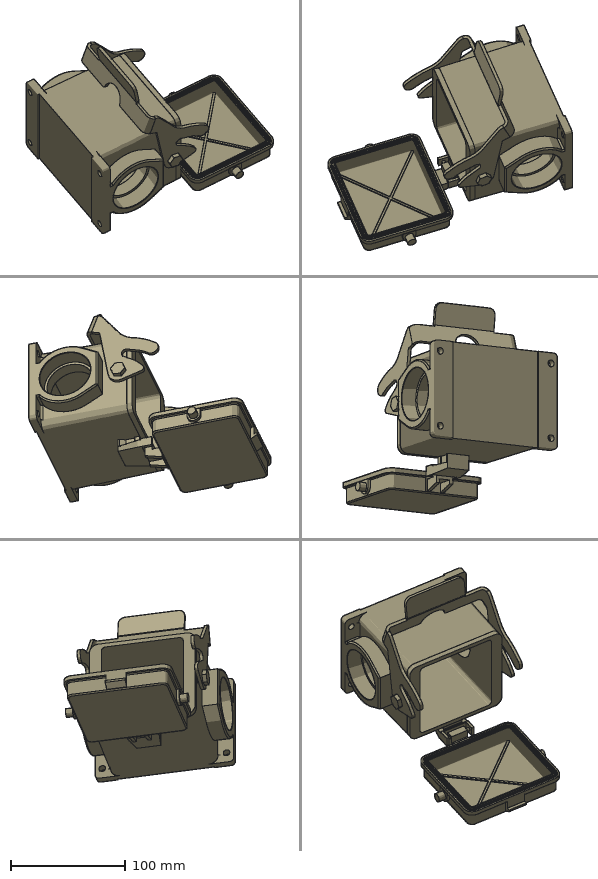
import cadquery as cq
import math


overlap = 2

plate_width = 125.0
plate_height = 86.2
plate_thickness = 7.1
plate_corner_radius = 3.9
plate_edge_round = 0.5
pad_inner_edge = 43.3
pad_step = 1.5
screw_hole_diameter = 5.8
screw_hole_x = 56
screw_hole_z = 33.5

body_width = 96.8
body_height = plate_height
body_corner_radius = 8.1
body_draft = 0.9
wall = 3.9
gland_wall = 10.6
plate_fillet = 1.7
rim_start_y = 85.5
rim_end_y = 90.5
rim_width = 95.0
rim_height = 83.9
rim_corner_radius = 7.7

gland_y = 33.6
gland_bore_diameter = 42.0
gland_mouth_diameter = 46.8
gland_mouth_depth = 14.3
gland_mouth_chamfer = 0.4
gland_radius = 30.7
gland_end_y = 63.4
gland_half_flat = 18.4
gland_half_foot = 19.0
gland_edge_round = 1.4

sheet = 2.9
lever_half_width = 52.7
bend_radius = 6.5
pivot_y = 80.0
pivot_pin_diameter = 8.0
pivot_pin_root_x = body_width / 2 - wall
bolt_head_diameter = 13.5
bolt_head_height = 3.9
bolt_head_turn = 9
heel_radius = 10.2
notch_centre = (86.4, 18.5)
notch_radius = 4.0
finger_centre = (110.1, 18.7)
finger_radius = 6.0
bar_top = (54.9, 67.6)
bar_tilt = 20
bar_length = 17.2
grip_radius = 12.2
grip_corner_round = 2
tab_width = 59.9
tab_length = 20.9
tab_root = (56.8, 68.4)
tab_neck_length = 1.5
tab_tilt = 8.5
tab_corner_radius = 6.4

lid_y = 147.2
lid_width = 97.0
lid_length = 86.0
lid_corner_radius = 8.3
lid_min_corner_radius = 2
lid_top_z = -51.5
lid_bottom_z = -70.3
lid_rim_depth = 4.0
lid_wall_inset = 2.9
lid_inner_inset = 6.5
lid_floor = 2.3
lid_floor_fillet = 0.8
lid_bottom_chamfer = 1.2
lid_collar_depth = 1.0
seal_groove_inset = 1.7
seal_groove_width = 3.9
seal_groove_depth = 1.5
seal_bead_inset = 3.0
seal_bead_width = 1.2
seal_bead_height = 1.0
lid_rib_width = 2.1
lid_rib_height = 1.0
lid_pin_diameter = 8.0
lid_pin_z = -62.0
lid_pin_reach = 54.9
lid_pin_boss_radius = 6.0
lid_pin_boss_x = 48.1
tongue_width = 18.0
tongue_tip_y = 193.2
tongue_top_z = -63.2
tongue_tip_height = 2
tongue_foot_y = 186.6

neck_width = 21.6
neck_back_width = 19.0
waist_width = 16.6
waist_start_y = 72.5
waist_end_y = 81.0
ledge_z = -49.8
ledge_end_y = 87.7
neck_front_y = 66.0
neck_back_y = 85.4
neck_front_thickness = 1.5
lug_width = 28.2
lug_gap = 23.2
lug_end_y = 98.0
lug_top_z = -48.7
lug_bottom_z = -57.5
neck_bottom_rise = 2.3
lug_slot_start_y = 88.9
arm_width = 16.6
arm_slot_width = 10.2
arm_slot_top_z = -60.3
arm_end_y = 90.0
arm_top_z = -58
arm_end_bottom_z = -63.8
knuckle_end_y = 96.6
knuckle_top_z = -50.6
pad_width = 19.3
pad_thickness = 1.2
hinge_pin_diameter = 3.0
hinge_pin_y = 93.5
hinge_pin_z = -53.3


def facing_back(y):
    """Workplane at depth y that extrudes towards +Y."""
    return cq.Workplane(cq.Plane((0, y, 0), (1, 0, 0), (0, 1, 0)))


def side_profile(half_width):
    """YZ workplane at X = -half_width, ready for an extrusion of 2 * half_width."""
    return cq.Workplane("YZ", origin=(-half_width, 0, 0))


def both_sides(solid):
    return solid.union(solid.mirror("YZ"))


def rounded_block(workplane, size_x, size_y, depth, radius, taper=0):
    outline = cq.Sketch().rect(size_x, size_y).vertices().fillet(radius)
    return workplane.placeSketch(outline).extrude(depth, taper=taper)


def base_plate():
    plate = rounded_block(facing_back(0), plate_width, plate_height, plate_thickness, plate_corner_radius)
    plate = plate.faces("<Y").edges().fillet(plate_edge_round)
    step = cq.Workplane().box(2 * pad_inner_edge, 2 * pad_step, 2 * plate_height)
    holes = (
        facing_back(-overlap)
        .rect(2 * screw_hole_x, 2 * screw_hole_z, forConstruction=True)
        .vertices()
        .circle(screw_hole_diameter / 2)
        .extrude(plate_thickness + 2 * overlap)
    )
    return plate.cut(step).cut(holes)


def body_shell():
    shell_length = rim_start_y - plate_thickness
    shell = rounded_block(
        facing_back(plate_thickness), body_width, body_height, shell_length, body_corner_radius, body_draft
    )
    rim_length = rim_end_y - rim_start_y
    rim = rounded_block(facing_back(rim_start_y), rim_width, rim_height, rim_length, rim_corner_radius)
    return shell.union(rim)


def body_cavity():
    return rounded_block(
        facing_back(plate_thickness),
        rim_width - 2 * gland_wall,
        rim_height - 2 * wall,
        rim_end_y,
        rim_corner_radius - wall,
    )


def gland_boss():
    reach = gland_end_y - gland_y
    corner_distance = math.hypot(reach, gland_half_flat)
    corner_angle = math.atan2(gland_half_flat, reach)
    tangent_angle = corner_angle + math.acos(gland_radius / corner_distance)
    tangent_y = gland_y + gland_radius * math.cos(tangent_angle)
    tangent_z = gland_radius * math.sin(tangent_angle)
    foot_y = gland_y - math.sqrt(gland_radius**2 - gland_half_foot**2)
    length = plate_width / 2
    boss = (
        cq.Workplane("YZ")
        .moveTo(plate_thickness - overlap, -gland_half_foot)
        .lineTo(foot_y, -gland_half_foot)
        .threePointArc((gland_y, -gland_radius), (tangent_y, -tangent_z))
        .lineTo(gland_end_y, -gland_half_flat)
        .lineTo(gland_end_y, gland_half_flat)
        .lineTo(tangent_y, tangent_z)
        .threePointArc((gland_y, gland_radius), (foot_y, gland_half_foot))
        .lineTo(plate_thickness - overlap, gland_half_foot)
        .close()
        .extrude(length)
    )
    outer_edges = cq.selectors.BoxSelector(
        (length - overlap, plate_thickness, -plate_height),
        (length + overlap, gland_end_y + overlap, plate_height),
    )
    boss = boss.edges(outer_edges).chamfer(gland_edge_round)
    return both_sides(boss)


def plate_fillets():
    side_x = body_width / 2
    middle = plate_fillet * (1 - math.sqrt(0.5))
    height = body_height - 2 * body_corner_radius
    strip = (
        cq.Workplane("XY", origin=(0, 0, -height / 2))
        .moveTo(side_x - wall / 2, plate_thickness)
        .lineTo(side_x + plate_fillet, plate_thickness)
        .threePointArc(
            (side_x + middle, plate_thickness + middle),
            (side_x, plate_thickness + plate_fillet),
        )
        .lineTo(side_x - wall / 2, plate_thickness + plate_fillet)
        .close()
        .extrude(height)
    )
    return both_sides(strip)


def gland_bores():
    bore = cq.Workplane("YZ").center(gland_y, 0).circle(gland_bore_diameter / 2).extrude(plate_width)
    mouth = (
        cq.Workplane("YZ", origin=(plate_width / 2 - gland_mouth_depth, 0, 0))
        .center(gland_y, 0)
        .circle(gland_mouth_diameter / 2)
        .extrude(gland_mouth_depth)
        .faces(">X")
        .workplane()
        .circle(gland_mouth_diameter / 2 + gland_mouth_chamfer)
        .extrude(-gland_mouth_chamfer, taper=45)
    )
    return both_sides(bore.union(mouth))


def housing():
    solid = body_shell().union(plate_fillets()).union(gland_boss()).cut(body_cavity())
    return solid.union(base_plate()).cut(gland_bores())


def on_circle(centre, radius, degrees):
    angle = math.radians(degrees)
    return (centre[0] + radius * math.cos(angle), centre[1] + radius * math.sin(angle))


def lever_side():
    pivot = (pivot_y, 0)
    plate = (
        cq.Workplane("YZ", origin=(lever_half_width - sheet, 0, 0))
        .moveTo(54.9, 49.0)
        .lineTo(60.5, 47.1)
        .threePointArc((61.6, 46.5), (62.2, 45.6))
        .lineTo(*on_circle(pivot, heel_radius, 189))
        .threePointArc(on_circle(pivot, heel_radius, 230), on_circle(pivot, heel_radius, 286))
        .lineTo(100.9, -4.6)
        .threePointArc((102.8, -2.3), (102.2, 0.2))
        .threePointArc((97.0, 6.0), (90.6, 10.8))
        .lineTo(*on_circle(notch_centre, notch_radius, 246))
        .threePointArc(
            on_circle(notch_centre, notch_radius, 180),
            on_circle(notch_centre, notch_radius, 82),
        )
        .lineTo(98.2, 18.7)
        .threePointArc((102.0, 16.8), on_circle(finger_centre, finger_radius, 225))
        .threePointArc(
            on_circle(finger_centre, finger_radius, -10),
            on_circle(finger_centre, finger_radius, 58),
        )
        .threePointArc((102.5, 30.3), (90.8, 34.5))
        .threePointArc((85.5, 37.3), (81.1, 41.3))
        .lineTo(65.7, 62.6)
        .threePointArc((63.8, 64.5), (60.9, 65.9))
        .close()
        .extrude(sheet)
    )
    return both_sides(plate)


def lever_bar():
    tilt = math.radians(bar_tilt)
    down = (0, -math.sin(tilt), -math.cos(tilt))
    inward = (0, math.cos(tilt), -math.sin(tilt))
    bend_centre_x = lever_half_width - bend_radius
    inner_radius = bend_radius - sheet
    diagonal = math.sqrt(0.5)
    half_bar = (
        cq.Workplane(cq.Plane((0, *bar_top), (1, 0, 0), down))
        .lineTo(bend_centre_x, 0)
        .threePointArc(
            (bend_centre_x + bend_radius * diagonal, -bend_radius * (1 - diagonal)),
            (lever_half_width, -bend_radius),
        )
        .lineTo(lever_half_width - sheet, -bend_radius)
        .threePointArc(
            (bend_centre_x + inner_radius * diagonal, -bend_radius + inner_radius * diagonal),
            (bend_centre_x, -sheet),
        )
        .lineTo(0, -sheet)
        .close()
        .extrude(bar_length)
    )
    across = cq.Workplane(cq.Plane((0, *bar_top), (1, 0, 0), inward))
    grip = across.center(0, bar_length).circle(grip_radius).extrude(2 * sheet, both=True)
    tab_neck = (
        cq.Workplane(cq.Plane((0, *bar_top), (1, 0, 0), down))
        .center(0, -sheet / 2)
        .rect(tab_width, sheet)
        .extrude(-tab_neck_length)
    )
    bar = both_sides(half_bar).cut(grip).union(tab_neck)
    through_edges = cq.selectors.ParallelDirSelector(cq.Vector(*inward))
    reach = grip_radius + grip_corner_round
    lower_middle = cq.selectors.BoxSelector((-reach, 0, 0), (reach, pivot_y, bar_top[1] - grip_radius))
    return bar.edges(through_edges).edges(lower_middle).fillet(grip_corner_round)


def lever_tab():
    tilt = math.radians(tab_tilt)
    normal = (0, -math.cos(tilt), -math.sin(tilt))
    return (
        cq.Workplane(cq.Plane((0, *tab_root), (1, 0, 0), normal))
        .center(0, tab_length / 2)
        .rect(tab_width, tab_length)
        .extrude(sheet / 2, both=True)
        .edges(cq.selectors.ParallelDirSelector(cq.Vector(*normal)))
        .edges(">Z")
        .fillet(tab_corner_radius)
    )


def pivot_bolts():
    pin = (
        cq.Workplane("YZ", origin=(pivot_pin_root_x, 0, 0))
        .center(pivot_y, 0)
        .circle(pivot_pin_diameter / 2)
        .extrude(lever_half_width - pivot_pin_root_x)
    )
    head = (
        cq.Workplane("YZ", origin=(lever_half_width, 0, 0))
        .polygon(6, bolt_head_diameter)
        .extrude(bolt_head_height)
        .rotate((0, 0, 0), (1, 0, 0), -bolt_head_turn)
        .translate((0, pivot_y, 0))
    )
    return both_sides(pin.union(head))


def lid_block(z, inset, height, taper=0):
    """Rounded block concentric with the lid outline, shrunk by inset and rising from z."""
    return rounded_block(
        cq.Workplane("XY", origin=(0, lid_y, z)),
        lid_width - 2 * inset,
        lid_length - 2 * inset,
        height,
        max(lid_corner_radius - inset, lid_min_corner_radius),
        taper,
    )


def lid_ring(z, inset, width, height):
    return lid_block(z, inset, height).cut(lid_block(z, inset + width, height))


def lid_shell():
    height = lid_top_z - lid_bottom_z
    rim_underside = lid_top_z - lid_rim_depth
    tray = lid_block(lid_bottom_z, lid_wall_inset, height).faces("<Z").edges().chamfer(lid_bottom_chamfer)
    collar = lid_block(rim_underside - lid_collar_depth, lid_wall_inset, lid_collar_depth, taper=-45)
    rim = lid_block(rim_underside, 0, lid_rim_depth)
    groove_floor = lid_top_z - seal_groove_depth
    groove = lid_ring(groove_floor, seal_groove_inset, seal_groove_width, seal_groove_depth)
    bead = lid_ring(groove_floor, seal_bead_inset, seal_bead_width, seal_bead_height)
    return tray.union(collar).union(rim).cut(groove).union(bead)


def lid_cavity():
    cavity = lid_block(lid_bottom_z + lid_floor, lid_inner_inset, lid_top_z - lid_bottom_z)
    return cavity.faces("<Z").edges().fillet(lid_floor_fillet)


def lid_ribs():
    inner_width = lid_width - 2 * lid_inner_inset
    inner_length = lid_length - 2 * lid_inner_inset
    angle = math.degrees(math.atan2(inner_length, inner_width))
    floor = cq.Workplane("XY", origin=(0, lid_y, lid_bottom_z + lid_floor))
    ribs = cq.Workplane()
    for turn in (angle, -angle):
        ribs = ribs.add(
            floor.transformed(rotate=(0, 0, turn))
            .rect(math.hypot(inner_width, inner_length), lid_rib_width)
            .extrude(lid_rib_height)
        )
    return ribs.combine()


def lid_pins():
    start = lid_width / 2 - lid_inner_inset
    plane = cq.Workplane("YZ", origin=(start, 0, 0)).center(lid_y, lid_pin_z)
    pin = plane.circle(lid_pin_diameter / 2).extrude(lid_pin_reach - start)
    rise = lid_top_z - lid_rim_depth - lid_pin_z
    boss = (
        plane.moveTo(-lid_pin_boss_radius, rise)
        .lineTo(-lid_pin_boss_radius, 0)
        .threePointArc((0, -lid_pin_boss_radius), (lid_pin_boss_radius, 0))
        .lineTo(lid_pin_boss_radius, rise)
        .close()
        .extrude(lid_pin_boss_x - start)
    )
    return both_sides(pin.union(boss))


def lid_tongue():
    wall_y = lid_y + lid_length / 2 - lid_inner_inset
    rim_y = lid_y + lid_length / 2
    rim_underside = lid_top_z - lid_rim_depth
    lid_foot_z = lid_bottom_z + lid_bottom_chamfer
    points = [
        (wall_y, rim_underside),
        (rim_y, rim_underside),
        (rim_y, tongue_top_z),
        (tongue_tip_y, tongue_top_z),
        (tongue_tip_y, tongue_top_z - tongue_tip_height),
        (tongue_foot_y, lid_foot_z),
        (wall_y, lid_foot_z),
    ]
    return side_profile(tongue_width / 2).polyline(points).close().extrude(tongue_width)


def lid_arm():
    wall_y = lid_y - lid_length / 2 + lid_wall_inset
    inner_y = lid_y - lid_length / 2 + lid_inner_inset
    lid_foot_z = lid_bottom_z + lid_bottom_chamfer
    points = [
        (inner_y, arm_top_z),
        (knuckle_end_y, arm_top_z),
        (knuckle_end_y, knuckle_top_z),
        (arm_end_y, knuckle_top_z),
        (arm_end_y, arm_end_bottom_z),
        (wall_y, lid_foot_z),
        (inner_y, lid_foot_z),
    ]
    arm = side_profile(arm_width / 2).polyline(points).close().extrude(arm_width)
    pad_start_y = wall_y - pad_thickness
    pad = (
        cq.Workplane("XY", origin=(0, (pad_start_y + inner_y) / 2, lid_foot_z))
        .rect(pad_width, inner_y - pad_start_y)
        .extrude(lid_top_z - lid_rim_depth - lid_foot_z)
    )
    slot = (
        cq.Workplane("XY", origin=(0, (arm_end_y + pad_start_y) / 2, lid_bottom_z))
        .rect(arm_slot_width, pad_start_y - arm_end_y)
        .extrude(arm_slot_top_z - lid_bottom_z)
    )
    return arm.cut(slot).union(pad)


def hinge_bracket():
    neck_half = neck_width / 2
    waist_half = waist_width / 2
    back_half = neck_back_width / 2
    half_neck = (
        cq.Workplane("XY", origin=(0, 0, ledge_z))
        .moveTo(0, neck_front_y)
        .lineTo(neck_half, neck_front_y)
        .lineTo(neck_half, neck_front_y + neck_front_thickness)
        .lineTo(waist_half, waist_start_y)
        .lineTo(waist_half, waist_end_y)
        .lineTo(back_half, waist_end_y)
        .lineTo(back_half, neck_back_y)
        .lineTo(0, neck_back_y)
        .close()
        .extrude(-body_height / 2 + wall - ledge_z)
    )
    ledge = (
        cq.Workplane("XY", origin=(0, neck_front_y, ledge_z))
        .rect(2 * lug_width, 2 * (ledge_end_y - neck_front_y))
        .extrude(wall)
    )
    plan = (
        cq.Workplane("XY", origin=(0, 0, lug_bottom_z))
        .moveTo(-neck_width / 2, neck_front_y)
        .lineTo(neck_width / 2, neck_front_y)
        .lineTo(lug_width / 2, neck_back_y)
        .lineTo(lug_width / 2, lug_end_y)
        .lineTo(-lug_width / 2, lug_end_y)
        .lineTo(-lug_width / 2, neck_back_y)
        .close()
        .extrude(lug_top_z - lug_bottom_z)
    )
    slope = (
        cq.Workplane("YZ")
        .moveTo(neck_front_y, lug_bottom_z)
        .lineTo(neck_front_y, lug_bottom_z + neck_bottom_rise)
        .lineTo(neck_back_y, lug_bottom_z)
        .close()
        .extrude(lug_width, both=True)
    )
    gap_length = 2 * (lug_end_y - lug_slot_start_y)
    gap = cq.Workplane().box(lug_gap, gap_length, body_height).translate((0, lug_end_y, lug_bottom_z))
    return plan.cut(slope).cut(ledge).union(both_sides(half_neck)).cut(gap)


def hinge_pin():
    return (
        side_profile(lug_width / 2)
        .center(hinge_pin_y, hinge_pin_z)
        .circle(hinge_pin_diameter / 2)
        .extrude(lug_width)
    )


lever = lever_side().union(lever_bar()).union(lever_tab()).union(pivot_bolts())
lid_outside = lid_shell().union(lid_pins()).union(lid_tongue()).union(lid_arm())
lid = lid_outside.cut(lid_cavity()).union(lid_ribs().intersect(lid_cavity()))
hinge = hinge_bracket().union(hinge_pin())

result = housing().union(lever).union(hinge).union(lid)